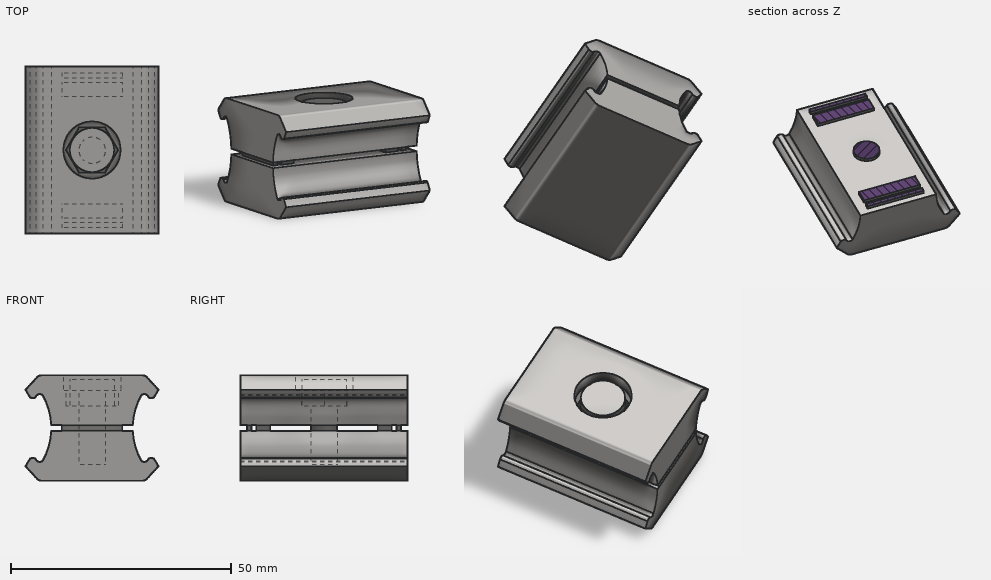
import cadquery as cq
import math

length = 38.0
width = 30.2
half_width = width / 2
top_z = 12.0
gap = 1.3
face_z = gap / 2

waist_half_width = 9.27
waist_radius = 15.2
waist_end_z = 7.4
top_flat_half_width = 11.3
shoulder_x = 12.43
shoulder_z = 11.6
shoulder_mid_x = 11.95
shoulder_mid_z = 11.9
tip_z = 8.7
flank_x = 14.65
flank_z = 7.9
lip_outer_x = 14.15
lip_z = 7.03
lip_mid_x = 13.45
lip_bottom_z = 6.75
lip_inner_x = 12.75
groove_mid_x = 11.85
groove_top_z = 7.68

bolt_head_diameter = 10.05
bolt_head_height = 6.0
bolt_shank_diameter = 6.0
bolt_head_recess = 1.0
bolt_reach = 7.6
bore_diameter = 13.0
bore_depth = 3.4
hex_across_flats = 10.25
hex_across_corners = hex_across_flats / math.cos(math.radians(30))
head_top_z = top_z - bolt_head_recess
seat_z = head_top_z - bolt_head_height
shank_end_z = -face_z - bolt_reach

rib_half_width = 6.9
rib_spans = [(12.15, 15.4), (16.45, 17.5)]


def waist_x(z):
    """Distance of the concave waist arc from the centre plane at height z."""
    return waist_half_width + waist_radius - math.sqrt(waist_radius**2 - z**2)


def make_block():
    """Upper clamp block: one half of the profile is extruded and joined to its mirror image."""
    mid_z = (face_z + waist_end_z) / 2
    half = (
        cq.Workplane("XZ", origin=(0, length / 2, 0))
        .moveTo(0, face_z)
        .lineTo(waist_x(face_z), face_z)
        .threePointArc((waist_x(mid_z), mid_z), (waist_x(waist_end_z), waist_end_z))
        .threePointArc((groove_mid_x, groove_top_z), (lip_inner_x, lip_z))
        .threePointArc((lip_mid_x, lip_bottom_z), (lip_outer_x, lip_z))
        .lineTo(flank_x, flank_z)
        .lineTo(half_width, tip_z)
        .lineTo(shoulder_x, shoulder_z)
        .threePointArc((shoulder_mid_x, shoulder_mid_z), (top_flat_half_width, top_z))
        .lineTo(0, top_z)
        .close()
        .extrude(length)
    )
    return half.union(half.mirror("YZ")).clean()


def make_shank():
    """Bolt shank, also used to cut its matching holes."""
    return (
        cq.Workplane("XY", origin=(0, 0, shank_end_z))
        .circle(bolt_shank_diameter / 2)
        .extrude(seat_z - shank_end_z)
    )


def make_upper_block():
    """Block with a round counterbore, a hexagonal seat and a shank hole."""
    bore = (
        cq.Workplane("XY", origin=(0, 0, top_z))
        .circle(bore_diameter / 2)
        .extrude(-bore_depth)
    )
    hex_seat = (
        cq.Workplane("XY", origin=(0, 0, seat_z))
        .polygon(6, hex_across_corners)
        .extrude(top_z - seat_z)
    )
    return make_block().cut(bore).cut(hex_seat).cut(make_shank())


def make_lower_block():
    """Mirrored block with a blind shank hole and ribs that carry the upper block."""
    block = make_block().mirror("XY")
    for near_y, far_y in rib_spans:
        for side in (-1, 1):
            rib = (
                cq.Workplane("XY", origin=(0, side * (near_y + far_y) / 2, -face_z))
                .rect(2 * rib_half_width, far_y - near_y)
                .extrude(gap)
            )
            block = block.union(rib)
    return block.cut(make_shank())


def make_bolt():
    """Cap bolt with a plain cylindrical head."""
    head = (
        cq.Workplane("XY", origin=(0, 0, seat_z))
        .circle(bolt_head_diameter / 2)
        .extrude(bolt_head_height)
    )
    return head.union(make_shank())


upper_block = make_upper_block()
lower_block = make_lower_block()
bolt = make_bolt()

result = cq.Compound.makeCompound([upper_block.val(), lower_block.val(), bolt.val()])